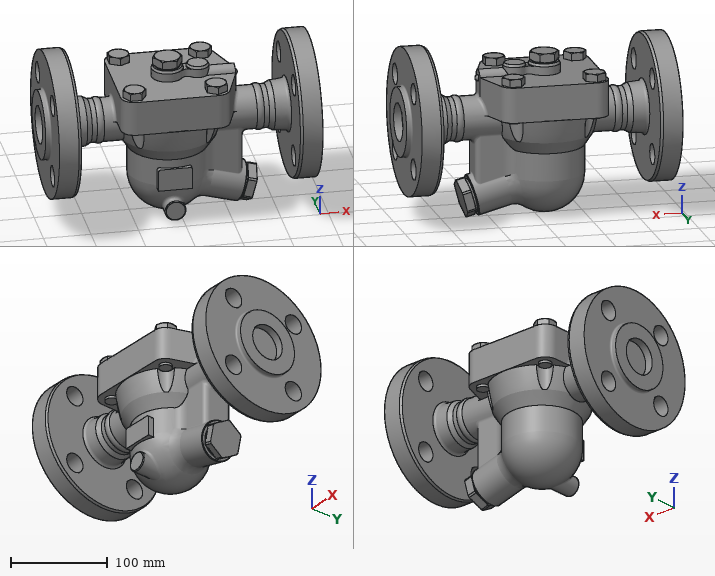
import cadquery as cq
import math


HALF_LENGTH = 145.0
FLANGE_DIA = 156.0
FLANGE_BACK = 115.0
FLANGE_FACE = 138.6
FLANGE_BEVEL_LENGTH = 2.9
FLANGE_BEVEL_DEPTH = 1.3
RAISED_FACE_DIA = 73.0
RAISED_FACE_FILLET = 2.0
PORT_DIA = 40.0
PORT_DEPTH = 9.0
FLANGE_HOLE_DIA = 22.0
FLANGE_HOLE_SPACING = 80.8
PIPE_RADIUS = 23.0
NECK_ROOT_RADIUS = 29.5
NECK_LARGE_RADIUS = 27.0
NECK_SMALL_RADIUS = 26.0
NECK_LARGE_X = 111.6
NECK_SMALL_X = 98.7
NECK_END_X = 93.2
BEAD_START_X = 80.4
BEAD_END_X = 87.9
BEAD_HEIGHT = 1.3

BOWL_X = -10.0
BOWL_RADIUS = 42.0
DOME_CENTER_Z = -62.4
CONE_BOTTOM_Z = -32.5
SHOULDER_Z = -19.0
SHOULDER_RADIUS = 51.0
FLANK_Z = -6.0
FLANK_RADIUS = 54.5
BOWL_TOP_RADIUS = 57.0

BOLT_OFFSET = 43.0
CORNER_RADIUS = 14.5
NOSE_X = 60.3
NOSE_HALF_WIDTH = 9.0
PLATE_BOTTOM_Z = 6.8
COVER_TOP_Z = 44.4
PLATE_PIPE_FILLET = 3.5

BOLT_HEAD_AF = 21.0
BOLT_HEAD_HEIGHT = 8.3
BOLT_DIA = 14.0
BOLT_END_Z = 4.0
SCALLOP_DIA = 20.0

BOSS_TOP_Z = 56.3
PLUG_BOSS_RADIUS = 16.7
PASSAGE_BOSS_X = 21.7
PASSAGE_BOSS_RADIUS = 12.0
BOSS_BEVEL_HEIGHT = 2.7
BOSS_BEVEL_WIDTH = 1.5
WEB_FILLET = 6.4
WEB_TOP_Z = 52.8
TUBE_RADIUS = 9.0
TUBE_CENTER_Z = 41.9
BALL_RADIUS = 3.3
COVER_PLUG_AF = 27.0
COVER_PLUG_NECK_RADIUS = 13.0
COVER_PLUG_HEX_Z = 57.0
COVER_PLUG_TOP_Z = 66.7

STRAINER_TILT = 15.0
STRAINER_RADIUS = 22.0
STRAINER_LENGTH = 79.7
STRAINER_BEVEL = 0.8
STRAINER_FILLET = 15.0
STRAINER_NECK_RADIUS = 18.0
STRAINER_PLUG_START = 82.0
STRAINER_PLUG_END = 91.5
STRAINER_PLUG_AF = 37.0
STRAINER_PLUG_DIA = 41.4

RIB_END_X = 66.4
RIB_HALF_WIDTH = 17.3
RIB_EDGE_RADIUS = 5.5
RIB_BOWL_FILLET = 15.5
RIB_PIPE_FILLET = 5.0
RIB_STRAINER_FILLET = 1.5
RIB_START_X = 5.0
RIB_BOTTOM_Z = -75.0
FLARE_BOTTOM_Z = -64.0

PAD_WIDTH = 36.0
PAD_TOP_Z = -41.8
PAD_BOTTOM_Z = -65.9
PAD_FACE_Y = -44.8
PAD_CORNER_RADIUS = 2.5
DRAIN_Z = -89.8
DRAIN_DIA = 22.0
DRAIN_END_Y = -45.7
DRAIN_FILLET = 3.0
DRAIN_BEVEL = 1.0

HALF_HEX_STEP = 30.0
HEX_FLAT_RATIO = math.cos(math.radians(HALF_HEX_STEP))
HEAD_BEVEL_ANGLE = 30.0

SEAM_MARGIN = 1.0

BOLT_SIGNS = [(sx, sy) for sx in (-1, 1) for sy in (-1, 1)]


def cylinder_z(x, y, radius, z0, z1):
    return cq.Workplane("XY", origin=(x, y, z0)).circle(radius).extrude(z1 - z0)


def hexagon(across_flats, height, corner_on_x=True):
    """Hexagonal prism standing on z = 0."""
    prism = cq.Workplane("XY").polygon(6, across_flats / HEX_FLAT_RATIO).extrude(height)
    return prism if corner_on_x else prism.rotate((0, 0, 0), (0, 0, 1), HALF_HEX_STEP)


def hex_head(across_flats, height, corner_on_x=True, bevel_both_ends=False):
    """Hexagon whose corners are bevelled at 30 degrees down to the across-flats circle."""
    flat_radius = across_flats / 2
    overhang = flat_radius / HEX_FLAT_RATIO - flat_radius
    bevel_height = overhang * math.tan(math.radians(HEAD_BEVEL_ANGLE))
    disc = cq.Workplane("XY").circle(flat_radius + overhang).extrude(height)
    bevelled_edges = "%CIRCLE" if bevel_both_ends else ">Z"
    disc = disc.edges(bevelled_edges).chamfer(bevel_height, overhang)
    return hexagon(across_flats, height, corner_on_x).intersect(disc)


def pipe_end():
    """Flange, weld neck and pipe on the +X side, turned about the X axis."""
    flange_radius = FLANGE_DIA / 2
    face_radius = RAISED_FACE_DIA / 2
    bead_top = ((BEAD_START_X + BEAD_END_X) / 2, PIPE_RADIUS + BEAD_HEIGHT)
    fillet_mid = RAISED_FACE_FILLET * (1 - math.sqrt(0.5))
    turned = (
        cq.Workplane("XY")
        .moveTo(0, 0)
        .lineTo(0, PIPE_RADIUS)
        .lineTo(BEAD_START_X, PIPE_RADIUS)
        .threePointArc(bead_top, (BEAD_END_X, PIPE_RADIUS))
        .lineTo(NECK_END_X, PIPE_RADIUS)
        .lineTo(NECK_SMALL_X, NECK_SMALL_RADIUS)
        .lineTo(NECK_LARGE_X, NECK_LARGE_RADIUS)
        .tangentArcPoint((FLANGE_BACK, NECK_ROOT_RADIUS), relative=False)
        .lineTo(FLANGE_BACK, flange_radius - FLANGE_BEVEL_DEPTH)
        .lineTo(FLANGE_BACK + FLANGE_BEVEL_LENGTH, flange_radius)
        .lineTo(FLANGE_FACE, flange_radius)
        .lineTo(FLANGE_FACE, face_radius + RAISED_FACE_FILLET)
        .threePointArc(
            (FLANGE_FACE + fillet_mid, face_radius + fillet_mid),
            (FLANGE_FACE + RAISED_FACE_FILLET, face_radius),
        )
        .lineTo(HALF_LENGTH, face_radius)
        .lineTo(HALF_LENGTH, 0)
        .close()
        .revolve(360, (0, 0, 0), (1, 0, 0))
    )
    face = cq.Workplane("YZ", origin=(HALF_LENGTH, 0, 0))
    bolt_holes = (
        face.rect(FLANGE_HOLE_SPACING, FLANGE_HOLE_SPACING, forConstruction=True)
        .vertices()
        .circle(FLANGE_HOLE_DIA / 2)
        .extrude(FLANGE_BACK - HALF_LENGTH)
    )
    port = face.circle(PORT_DIA / 2).extrude(-PORT_DEPTH)
    return turned.cut(bolt_holes).cut(port)


def cover_outline():
    """Closed outline of cover and body plate: three straight sides and a pointed nose."""
    left = BOWL_X - BOLT_OFFSET
    right = BOWL_X + BOLT_OFFSET
    side = BOLT_OFFSET + CORNER_RADIUS
    dx = NOSE_X - right
    dy = NOSE_HALF_WIDTH - BOLT_OFFSET
    normal = math.atan2(dy, dx) + math.acos(CORNER_RADIUS / math.hypot(dx, dy))
    middle = (normal + math.pi / 2) / 2
    diagonal = CORNER_RADIUS * math.sqrt(0.5)

    def on_corner(angle, sign):
        x = right + CORNER_RADIUS * math.cos(angle)
        return (x, sign * (BOLT_OFFSET + CORNER_RADIUS * math.sin(angle)))

    return (
        cq.Workplane("XY", origin=(0, 0, PLATE_BOTTOM_Z))
        .moveTo(NOSE_X, -NOSE_HALF_WIDTH)
        .lineTo(NOSE_X, NOSE_HALF_WIDTH)
        .lineTo(*on_corner(normal, 1))
        .threePointArc(on_corner(middle, 1), (right, side))
        .lineTo(left, side)
        .threePointArc((left - diagonal, BOLT_OFFSET + diagonal), (left - CORNER_RADIUS, BOLT_OFFSET))
        .lineTo(left - CORNER_RADIUS, -BOLT_OFFSET)
        .threePointArc((left - diagonal, -BOLT_OFFSET - diagonal), (left, -side))
        .lineTo(right, -side)
        .threePointArc(on_corner(middle, -1), on_corner(normal, -1))
        .close()
    )


def plate_and_pipes():
    """Flanged pipe run and the cover block, blended where the pipes leave the block."""
    outlet = pipe_end()
    run = outlet.union(outlet.mirror("YZ"))
    block = cover_outline().extrude(COVER_TOP_Z - PLATE_BOTTOM_Z)
    joined = run.union(block)
    reach = PIPE_RADIUS + SEAM_MARGIN
    seam_zone = cq.selectors.BoxSelector(
        (-BOLT_OFFSET + BOWL_X - CORNER_RADIUS - SEAM_MARGIN, -reach, PLATE_BOTTOM_Z + SEAM_MARGIN),
        (NOSE_X + SEAM_MARGIN, reach, reach),
    )
    return joined.edges(seam_zone).fillet(PLATE_PIPE_FILLET)


def bowl():
    """Domed bowl with scallops that clear the ends of the cover bolts."""
    turned = (
        cq.Workplane("XZ")
        .moveTo(0, DOME_CENTER_Z - BOWL_RADIUS)
        .threePointArc(
            (BOWL_RADIUS * math.sqrt(0.5), DOME_CENTER_Z - BOWL_RADIUS * math.sqrt(0.5)),
            (BOWL_RADIUS, DOME_CENTER_Z),
        )
        .lineTo(BOWL_RADIUS, CONE_BOTTOM_Z)
        .lineTo(SHOULDER_RADIUS, SHOULDER_Z)
        .threePointArc((FLANK_RADIUS, FLANK_Z), (BOWL_TOP_RADIUS, PLATE_BOTTOM_Z))
        .lineTo(0, PLATE_BOTTOM_Z)
        .close()
        .revolve(360, (0, 0, 0), (0, 1, 0))
        .translate((BOWL_X, 0, 0))
    )
    for sx, sy in BOLT_SIGNS:
        x = BOWL_X + sx * BOLT_OFFSET
        y = sy * BOLT_OFFSET
        turned = turned.cut(cylinder_z(x, y, SCALLOP_DIA / 2, SHOULDER_Z, PLATE_BOTTOM_Z))
    return turned


def drain_plug():
    plug = cq.Workplane("XZ", origin=(BOWL_X, 0, DRAIN_Z)).circle(DRAIN_DIA / 2).extrude(-DRAIN_END_Y)
    return plug.faces("<Y").edges().chamfer(DRAIN_BEVEL)


def bowl_with_drain():
    """Bowl with the round drain plug blended into the dome."""
    joined = bowl().union(drain_plug())
    half = DRAIN_DIA / 2 + SEAM_MARGIN
    seam_zone = cq.selectors.BoxSelector(
        (BOWL_X - half, DRAIN_END_Y + SEAM_MARGIN, DRAIN_Z - half),
        (BOWL_X + half, 0, DRAIN_Z + half),
    )
    return joined.edges(seam_zone).fillet(DRAIN_FILLET)


def name_pad():
    height = PAD_TOP_Z - PAD_BOTTOM_Z
    return (
        cq.Workplane("XZ", origin=(BOWL_X, 0, PAD_BOTTOM_Z + height / 2))
        .rect(PAD_WIDTH, height)
        .extrude(-PAD_FACE_Y)
        .edges("|Y and >Z")
        .fillet(PAD_CORNER_RADIUS)
    )


def along_strainer(shape):
    """Turn a shape built upwards from the origin onto the tilted strainer axis."""
    tilted = shape.rotate((0, 0, 0), (0, 1, 0), 90 + STRAINER_TILT)
    return tilted.translate((BOWL_X, 0, DOME_CENTER_Z))


def strainer_solid(radius, start, end):
    """Cylinder on the tilted strainer axis; start and end are measured from the dome center."""
    return along_strainer(cylinder_z(0, 0, radius, start, end))


def strainer_tube():
    return strainer_solid(STRAINER_RADIUS, 0, STRAINER_LENGTH).faces(">X").edges().chamfer(STRAINER_BEVEL)


def strainer_plug():
    """Hexagon plug with turned corners on a short neck."""
    neck = strainer_solid(STRAINER_NECK_RADIUS, STRAINER_LENGTH, STRAINER_PLUG_START)
    length = STRAINER_PLUG_END - STRAINER_PLUG_START
    turned_blank = cylinder_z(0, 0, STRAINER_PLUG_DIA / 2, 0, length)
    head = hexagon(STRAINER_PLUG_AF, length).intersect(turned_blank)
    return neck.union(along_strainer(head.translate((0, 0, STRAINER_PLUG_START))))


def bowl_with_strainer():
    """Bowl with drain plug and with the strainer tube blended into the dome."""
    joined = bowl_with_drain().union(strainer_tube())
    seam_zone = cq.selectors.BoxSelector(
        (BOWL_X + BOWL_RADIUS / 2, -STRAINER_RADIUS - SEAM_MARGIN, DOME_CENTER_Z - BOWL_RADIUS),
        (BOWL_X + BOWL_RADIUS + SEAM_MARGIN, STRAINER_RADIUS + SEAM_MARGIN, DOME_CENTER_Z + STRAINER_RADIUS),
    )
    return joined.edges(seam_zone).fillet(STRAINER_FILLET)


def frame():
    """Cover block, pipes and strainer tube, tied together by the blended rib."""
    length = RIB_END_X - RIB_START_X
    web = (
        cq.Workplane("XY", origin=(RIB_START_X + length / 2, 0, RIB_BOTTOM_Z))
        .rect(length, 2 * RIB_HALF_WIDTH)
        .extrude(-RIB_BOTTOM_Z)
        .edges("|Z")
        .fillet(RIB_EDGE_RADIUS)
    )
    joined = plate_and_pipes().union(web).union(strainer_tube())
    side = RIB_HALF_WIDTH + SEAM_MARGIN
    pipe_seam = cq.selectors.BoxSelector(
        (RIB_START_X - SEAM_MARGIN, -side, -PIPE_RADIUS - SEAM_MARGIN),
        (RIB_END_X + SEAM_MARGIN, side, -PIPE_RADIUS / 2),
    )
    joined = joined.edges(pipe_seam).fillet(RIB_PIPE_FILLET)
    tube_seam = cq.selectors.BoxSelector(
        (RIB_START_X - SEAM_MARGIN, -side, RIB_BOTTOM_Z),
        (RIB_END_X + SEAM_MARGIN, side, DOME_CENTER_Z + STRAINER_RADIUS),
    )
    return joined.edges(tube_seam).edges("not |Z").fillet(RIB_STRAINER_FILLET)


def rib_flare():
    """Concave corners between bowl and rib, tangent to both, from tube to shoulder."""
    arc_y = RIB_HALF_WIDTH + RIB_BOWL_FILLET
    arc_dx = math.sqrt((BOWL_RADIUS + RIB_BOWL_FILLET) ** 2 - arc_y**2)
    arc_x = BOWL_X + arc_dx
    bowl_share = BOWL_RADIUS / (BOWL_RADIUS + RIB_BOWL_FILLET)
    tangent_x = BOWL_X + arc_dx * bowl_share
    tangent_y = arc_y * bowl_share
    middle = (math.atan2(arc_y, arc_dx) + math.pi / 2) / 2
    mid_x = arc_x - RIB_BOWL_FILLET * math.cos(middle)
    mid_y = arc_y - RIB_BOWL_FILLET * math.sin(middle)
    return (
        cq.Workplane("XY", origin=(0, 0, FLARE_BOTTOM_Z))
        .moveTo(RIB_START_X, -tangent_y)
        .lineTo(tangent_x, -tangent_y)
        .threePointArc((mid_x, -mid_y), (arc_x, -RIB_HALF_WIDTH))
        .lineTo(arc_x, RIB_HALF_WIDTH)
        .threePointArc((mid_x, mid_y), (tangent_x, tangent_y))
        .lineTo(RIB_START_X, tangent_y)
        .close()
        .extrude(SHOULDER_Z - FLARE_BOTTOM_Z)
    )


def cover_bosses():
    """Plug boss and passage boss, joined by a web with concave flanks."""
    plug_boss = cylinder_z(BOWL_X, 0, PLUG_BOSS_RADIUS, COVER_TOP_Z, BOSS_TOP_Z)
    passage_boss = cylinder_z(PASSAGE_BOSS_X, 0, PASSAGE_BOSS_RADIUS, COVER_TOP_Z, BOSS_TOP_Z)
    bosses = plug_boss.union(passage_boss)
    bosses = bosses.faces(">Z").edges().chamfer(BOSS_BEVEL_HEIGHT, BOSS_BEVEL_WIDTH)
    spacing = PASSAGE_BOSS_X - BOWL_X
    plug_reach = PLUG_BOSS_RADIUS + WEB_FILLET
    passage_reach = PASSAGE_BOSS_RADIUS + WEB_FILLET
    flank_dx = (spacing**2 + plug_reach**2 - passage_reach**2) / (2 * spacing)
    flank_y = math.sqrt(plug_reach**2 - flank_dx**2)
    flank_x = BOWL_X + flank_dx
    start_share = PLUG_BOSS_RADIUS / plug_reach
    end_share = PASSAGE_BOSS_RADIUS / passage_reach
    start = (BOWL_X + flank_dx * start_share, flank_y * start_share)
    end = (PASSAGE_BOSS_X + (flank_x - PASSAGE_BOSS_X) * end_share, flank_y * end_share)
    waist_y = flank_y - WEB_FILLET
    web = (
        cq.Workplane("XY", origin=(0, 0, COVER_TOP_Z))
        .moveTo(BOWL_X, start[1])
        .lineTo(*start)
        .threePointArc((flank_x, waist_y), end)
        .lineTo(PASSAGE_BOSS_X, end[1])
        .lineTo(PASSAGE_BOSS_X, -end[1])
        .lineTo(end[0], -end[1])
        .threePointArc((flank_x, -waist_y), (start[0], -start[1]))
        .lineTo(BOWL_X, -start[1])
        .close()
        .extrude(WEB_TOP_Z - COVER_TOP_Z)
    )
    return bosses.union(web)


def cover_passage():
    """Half-round passage from the passage boss to the nose, sealed with a ball."""
    tube = (
        cq.Workplane("YZ", origin=(PASSAGE_BOSS_X, 0, TUBE_CENTER_Z))
        .circle(TUBE_RADIUS)
        .extrude(NOSE_X - PASSAGE_BOSS_X)
    )
    ball = cq.Workplane("XY").sphere(BALL_RADIUS).translate((NOSE_X, 0, TUBE_CENTER_Z))
    return tube.union(ball)


def cover_plug():
    neck = cylinder_z(BOWL_X, 0, COVER_PLUG_NECK_RADIUS, BOSS_TOP_Z, COVER_PLUG_HEX_Z)
    head = hex_head(COVER_PLUG_AF, COVER_PLUG_TOP_Z - COVER_PLUG_HEX_Z, bevel_both_ends=True)
    return neck.union(head.translate((BOWL_X, 0, COVER_PLUG_HEX_Z)))


def cover_bolt(sx, sy):
    x = BOWL_X + sx * BOLT_OFFSET
    y = sy * BOLT_OFFSET
    head = hex_head(BOLT_HEAD_AF, BOLT_HEAD_HEIGHT, corner_on_x=(sx == sy))
    shank_end = cylinder_z(x, y, BOLT_DIA / 2, BOLT_END_Z, PLATE_BOTTOM_Z)
    return head.translate((x, y, COVER_TOP_Z)).union(shank_end)



result = frame().union(bowl_with_strainer()).union(rib_flare()).union(strainer_plug())
result = result.union(name_pad())
result = result.union(cover_bosses()).union(cover_passage()).union(cover_plug())
for sign_x, sign_y in BOLT_SIGNS:
    result = result.union(cover_bolt(sign_x, sign_y))